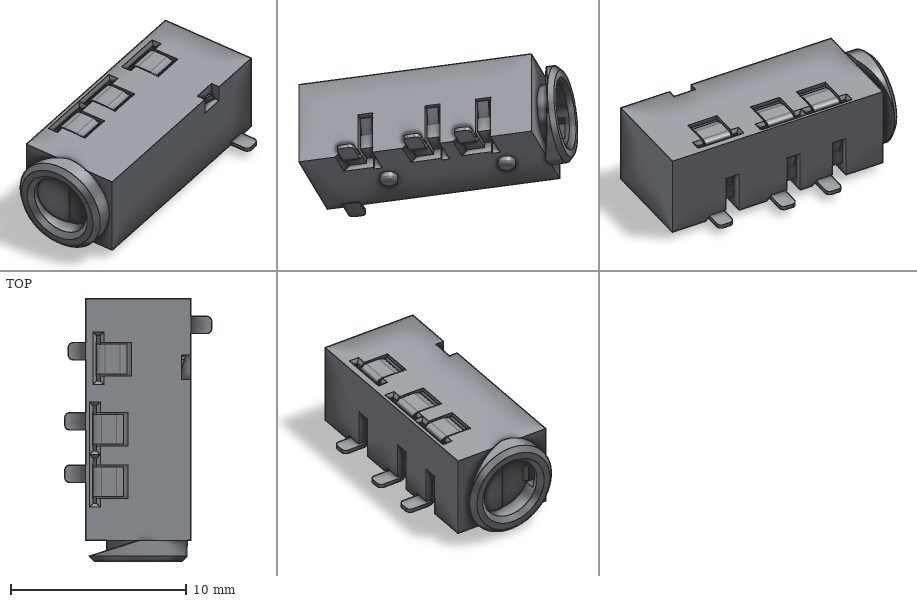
import cadquery as cq
import math


DIAGONAL = math.sqrt(0.5)

BODY_WIDTH = 6.0
BODY_LENGTH = 13.8
BODY_HEIGHT = 5.0
SIDE_X = BODY_WIDTH / 2
AXIS_Z = BODY_HEIGHT / 2

COLLAR_RADIUS = 2.8
COLLAR_LENGTH = 1.2
COLLAR_CHAMFER = 0.3
BORE_RADIUS = 1.8
BORE_CHAMFER = 0.3
COLLAR_RIM = COLLAR_LENGTH - COLLAR_CHAMFER
WEB = 0.04

DETENT_HEIGHT = 1.0
DETENT_POCKET_X = 2.4
DETENT_POCKET_LENGTH = 0.65
DETENT_POCKET_HEIGHT = 1.35
DETENT_TOE_X = 1.44
DETENT_TIP_X = 1.71
DETENT_HEEL_X = 1.9
DETENT_TIP_RISE = 0.18

PEG_RADIUS = 0.5
PEG_LENGTH = 0.5
PEG_FILLET = 0.2
PEG_POSITIONS_Y = (2.3, 9.3)

STATIONS = ((0, 0), (0, 3.0), (0.2, 7.0))

SHEET = 0.2
LEG_X = -2.6
SPRING_TOP = 4.95
SPRING_BEND = 0.5
SPRING_KINK_X = -1.24
SPRING_END_X = -0.83
SPRING_DROP = 0.13
SPRING_Y = (2.5, 4.2)

SLOT_X = (-2.79, -2.17)
SLOT_Y = (1.9, 4.9)
SLOT_FUNNEL = 0.2
SLOT_DEPTH = 1.2
WINDOW_END_X = -0.58
WINDOW_Y = (2.4, 4.3)
WINDOW_FLOOR = SPRING_TOP - SHEET

GROOVE_Y = (2.42, 3.3)
GROOVE_TOP = 2.54
FOOT_RECESS_TOP = 0.64
FOOT_RECESS_X = -1.0
FOOT_RECESS_STEP_Y = 2.88
FOOT_RECESS_STEP = 0.2
BARB_Y = (2.6, 3.26)
BARB_Z = (1.5, 2.45)
BARB_RISE = 0.25
BAY_HEIGHT = 0.33

LEAD_BOTTOM = -0.05
LEAD_TOP = 0.18
LEAD_BEND = 0.45
LEAD_WIDTH = 1.0
LEAD_Y = 3.3
LEAD_REACH = 4.2
LEAD_CORNER = 0.3
RIGHT_LEAD_Y = 11.8
RIGHT_LEAD_ROOT_X = 2.58

NOTCH_X = 2.47
NOTCH_Y = (9.2, 10.6)
NOTCH_DEPTH = 1.0
NOTCH_TAB_Y = (9.75, 10.52)
NOTCH_TAB_WIDTH = 0.23
NOTCH_TAB_HEIGHT = 0.4
NOTCH_TAB_SHOULDER = 0.2


def block(x, y, z):
    """Box spanning three (low, high) ranges."""
    size = (x[1] - x[0], y[1] - y[0], z[1] - z[0])
    return cq.Workplane("XY").box(*size, centered=False).translate((x[0], y[0], z[0]))


def prism_xy(points, z):
    """Plan outline raised over a Z range."""
    return cq.Workplane("XY").workplane(offset=z[0]).polyline(points).close().extrude(z[1] - z[0])


def disc(radius, y):
    """Cylinder on the jack axis over a Y range."""
    plane = cq.Plane(origin=(0, y[0], AXIS_Z), xDir=(-1, 0, 0), normal=(0, 1, 0))
    return cq.Workplane(plane).circle(radius).extrude(y[1] - y[0])


def xz_plane(y):
    """Plane at the given Y with X across and Z up; negative extrusions go towards +Y."""
    return cq.Workplane("XZ", origin=(0, y, 0))


def behind_slope(forward):
    """Space on the -X half behind the slope running from the axis to the collar rim, moved forward."""
    points = [
        (0, WEB),
        (0, -forward),
        (-COLLAR_RADIUS, -COLLAR_RIM - forward),
        (-COLLAR_RADIUS, WEB),
    ]
    z = (AXIS_Z - COLLAR_RADIUS, AXIS_Z + COLLAR_RADIUS)
    return prism_xy(points, z)


def collar():
    ring = disc(COLLAR_RADIUS, (-COLLAR_LENGTH, 0)).faces("<Y").chamfer(COLLAR_CHAMFER)
    plug = disc(BORE_RADIUS, (-COLLAR_LENGTH, 0))
    return ring.cut(behind_slope(0).cut(plug))


def bore():
    hole = disc(BORE_RADIUS, (-COLLAR_LENGTH, 0)).cut(behind_slope(WEB))
    mouth_radius = BORE_RADIUS + BORE_CHAMFER
    plane = cq.Plane(origin=(0, -COLLAR_LENGTH, AXIS_Z), xDir=(-1, 0, 0), normal=(0, 1, 0))
    countersink = (
        cq.Workplane(plane).circle(mouth_radius).workplane(offset=BORE_CHAMFER).circle(BORE_RADIUS).loft()
    )
    z = (AXIS_Z - DETENT_POCKET_HEIGHT / 2, AXIS_Z + DETENT_POCKET_HEIGHT / 2)
    pocket = block((DETENT_TOE_X, DETENT_POCKET_X), (-DETENT_POCKET_LENGTH, 0), z)
    return hole.union(countersink).union(pocket)


def detent():
    z = (AXIS_Z - DETENT_HEIGHT / 2, AXIS_Z + DETENT_HEIGHT / 2)
    points = [
        (DETENT_TOE_X, SHEET),
        (DETENT_TOE_X, 0),
        (DETENT_TIP_X, -DETENT_TIP_RISE),
        (DETENT_HEEL_X, 0),
        (DETENT_HEEL_X, SHEET),
    ]
    return prism_xy(points, z)


def peg(y):
    shaft = cq.Workplane("XY").center(0, y).circle(PEG_RADIUS).extrude(-PEG_LENGTH)
    return shaft.faces("<Z").edges().fillet(PEG_FILLET)


def top_opening():
    """Leg slot with a funnelled rim, and the window over the spring."""
    width = SLOT_X[1] - SLOT_X[0]
    length = SLOT_Y[1] - SLOT_Y[0]
    funnel = (
        cq.Workplane("XY", origin=(sum(SLOT_X) / 2, sum(SLOT_Y) / 2, BODY_HEIGHT))
        .rect(width, length)
        .workplane(offset=-SLOT_FUNNEL)
        .rect(width - 2 * SLOT_FUNNEL, length - 2 * SLOT_FUNNEL)
        .loft()
    )
    shaft = block(
        (SLOT_X[0] + SLOT_FUNNEL, SLOT_X[1] - SLOT_FUNNEL),
        (SLOT_Y[0] + SLOT_FUNNEL, SLOT_Y[1] - SLOT_FUNNEL),
        (BODY_HEIGHT - SLOT_DEPTH, BODY_HEIGHT),
    )
    window = block((LEG_X, WINDOW_END_X), WINDOW_Y, (WINDOW_FLOOR, BODY_HEIGHT))
    return funnel.union(shaft).union(window)


def side_opening(leg_x):
    """Groove down to the contact leg, the recess at its foot and the bay over the lead."""
    groove = block((-SIDE_X, leg_x), GROOVE_Y, (0, GROOVE_TOP))
    shallow_x = FOOT_RECESS_X - FOOT_RECESS_STEP
    foot = block((-SIDE_X, shallow_x), GROOVE_Y, (0, FOOT_RECESS_TOP))
    deep_y = (GROOVE_Y[0], FOOT_RECESS_STEP_Y)
    deep_foot = block((-SIDE_X, FOOT_RECESS_X), deep_y, (0, FOOT_RECESS_TOP))
    bay_end = LEAD_Y + LEAD_WIDTH
    bay = (
        cq.Workplane("YZ", origin=(-SIDE_X, 0, 0))
        .moveTo(LEAD_Y, 0)
        .lineTo(LEAD_Y, BAY_HEIGHT)
        .lineTo(bay_end, BAY_HEIGHT)
        .lineTo(bay_end + BAY_HEIGHT, 0)
        .close()
        .extrude(shallow_x + SIDE_X)
    )
    return groove.union(foot).union(deep_foot).union(bay)


def barb(leg_x):
    """Lanced tab on the contact leg, leaning outwards from its lower edge."""
    return (
        xz_plane(BARB_Y[0])
        .moveTo(leg_x + SHEET, BARB_Z[0])
        .lineTo(leg_x, BARB_Z[0])
        .lineTo(leg_x - BARB_RISE, BARB_Z[1])
        .lineTo(leg_x + SHEET, BARB_Z[1])
        .close()
        .extrude(BARB_Y[0] - BARB_Y[1])
    )


def spring():
    """Leg bent over into a flat spring with a drooping end, at the front station."""
    centre = (LEG_X + SPRING_BEND, SPRING_TOP - SPRING_BEND)
    inner = SPRING_BEND - SHEET
    foot_z = BODY_HEIGHT - SLOT_DEPTH
    under = SPRING_TOP - SHEET
    return (
        xz_plane(SPRING_Y[0])
        .moveTo(LEG_X, foot_z)
        .lineTo(LEG_X, centre[1])
        .threePointArc(
            (centre[0] - SPRING_BEND * DIAGONAL, centre[1] + SPRING_BEND * DIAGONAL),
            (centre[0], SPRING_TOP),
        )
        .lineTo(SPRING_KINK_X, SPRING_TOP)
        .lineTo(SPRING_END_X, SPRING_TOP - SPRING_DROP)
        .lineTo(SPRING_END_X, under - SPRING_DROP)
        .lineTo(SPRING_KINK_X, under)
        .lineTo(centre[0], under)
        .threePointArc(
            (centre[0] - inner * DIAGONAL, centre[1] + inner * DIAGONAL),
            (LEG_X + SHEET, centre[1]),
        )
        .lineTo(LEG_X + SHEET, foot_z)
        .close()
        .extrude(SPRING_Y[0] - SPRING_Y[1])
    )


def left_lead(leg_x, reach):
    """Lead running in from -X and bent up into the contact leg, at the front station."""
    leg_back = leg_x + SHEET
    centre = (leg_back - LEAD_BEND, LEAD_BOTTOM + LEAD_BEND)
    inner = centre[1] - LEAD_TOP
    lead = (
        xz_plane(LEAD_Y)
        .moveTo(-reach, LEAD_BOTTOM)
        .lineTo(centre[0], LEAD_BOTTOM)
        .threePointArc(
            (centre[0] + LEAD_BEND * DIAGONAL, centre[1] - LEAD_BEND * DIAGONAL),
            (leg_back, centre[1]),
        )
        .lineTo(leg_back, FOOT_RECESS_TOP)
        .lineTo(centre[0] + inner, FOOT_RECESS_TOP)
        .lineTo(centre[0] + inner, centre[1])
        .threePointArc((centre[0] + inner * DIAGONAL, centre[1] - inner * DIAGONAL), (centre[0], LEAD_TOP))
        .lineTo(-reach, LEAD_TOP)
        .close()
        .extrude(-LEAD_WIDTH)
    )
    return lead.faces("<X").edges("|Z").fillet(LEAD_CORNER)


def right_lead():
    lead = block(
        (RIGHT_LEAD_ROOT_X, LEAD_REACH),
        (RIGHT_LEAD_Y, RIGHT_LEAD_Y + LEAD_WIDTH),
        (LEAD_BOTTOM, LEAD_TOP),
    )
    return lead.faces(">X").edges("|Z").fillet(LEAD_CORNER)


def notch():
    return block((NOTCH_X, SIDE_X), NOTCH_Y, (BODY_HEIGHT - NOTCH_DEPTH, BODY_HEIGHT))


def notch_tab():
    """Tapered contact tab standing on the notch floor, bevelled at its thick end."""
    floor = BODY_HEIGHT - NOTCH_DEPTH
    points = [
        (NOTCH_X, NOTCH_TAB_Y[0]),
        (NOTCH_X + NOTCH_TAB_WIDTH, NOTCH_TAB_Y[1]),
        (NOTCH_X, NOTCH_TAB_Y[1]),
    ]
    tab = prism_xy(points, (floor, floor + NOTCH_TAB_HEIGHT))
    bevel = (
        cq.Workplane("YZ", origin=(NOTCH_X, 0, 0))
        .moveTo(NOTCH_TAB_Y[1] - NOTCH_TAB_SHOULDER, floor + NOTCH_TAB_HEIGHT)
        .lineTo(NOTCH_TAB_Y[1], floor + NOTCH_TAB_HEIGHT)
        .lineTo(NOTCH_TAB_Y[1], floor + NOTCH_TAB_HEIGHT - NOTCH_TAB_SHOULDER)
        .close()
        .extrude(NOTCH_TAB_WIDTH)
    )
    return tab.cut(bevel)


body = block((-SIDE_X, SIDE_X), (0, BODY_LENGTH), (0, BODY_HEIGHT))
part = body.union(collar()).cut(bore()).union(detent())

for peg_y in PEG_POSITIONS_Y:
    part = part.union(peg(peg_y))

for shift_x, shift_y in STATIONS:
    leg_x = LEG_X + shift_x
    along = (0, shift_y, 0)
    across = (shift_x, shift_y, 0)
    part = part.cut(top_opening().translate(across)).cut(side_opening(leg_x).translate(along))
    part = part.union(spring().translate(across)).union(barb(leg_x).translate(along))
    part = part.union(left_lead(leg_x, LEAD_REACH - shift_x).translate(along))

result = part.union(right_lead()).cut(notch()).union(notch_tab())